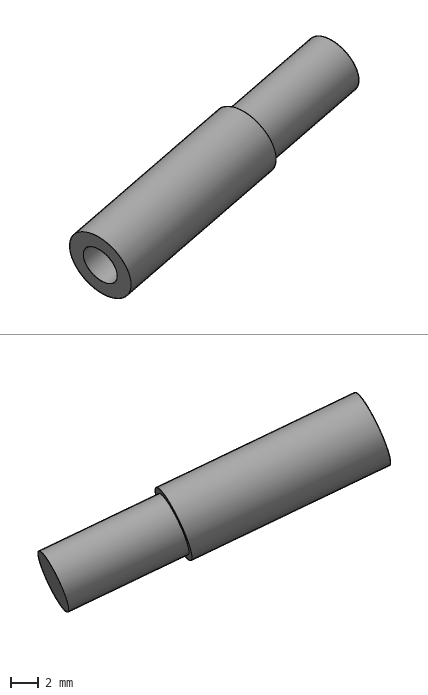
import cadquery as cq
import math

total_length = 26.5
shank_length = 10.0
body_length = total_length - shank_length
body_diameter = 6.0
shank_diameter = 5.0

hole_diameter = 3.3
hole_depth = 10.0
drill_tip_angle = 118.0

body_radius = body_diameter / 2
shank_radius = shank_diameter / 2
hole_radius = hole_diameter / 2
tip_depth = hole_radius / math.tan(math.radians(drill_tip_angle / 2))

half_section = (
    cq.Workplane("XY")
    .moveTo(0, hole_depth + tip_depth)
    .lineTo(hole_radius, hole_depth)
    .lineTo(hole_radius, 0)
    .lineTo(body_radius, 0)
    .lineTo(body_radius, body_length)
    .lineTo(shank_radius, body_length)
    .lineTo(shank_radius, total_length)
    .lineTo(0, total_length)
    .close()
)

result = half_section.revolve(360, (0, 0, 0), (0, 1, 0))